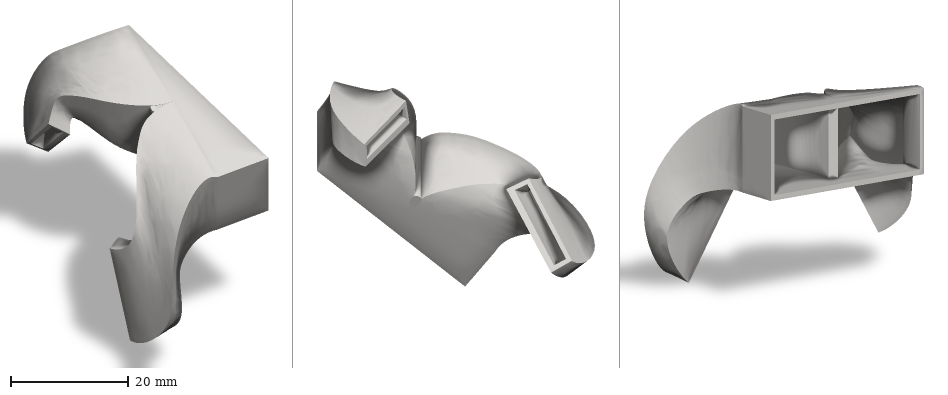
import cadquery as cq

wall = 0.9
left_x = -19.9
right_x = 15.85
split_x = (left_x + right_x) / 2
height = 14.9
wedge_depth = 9.65

web_width = 1.6
web_depth = 4.1
web_round = 0.65

outlet_overshoot = 0.45

left_arm = {
    "inner_top": [
        (split_x, 0, height), (-3.25, -5.05, 15.0), (-6.55, -9.7, 14.55), (-10.55, -12.75, 12.9),
        (-14.05, -15.1, 10.4), (-14.95, -16.35, 7.8), (-13.4, -18.15, 4.85),
    ],
    "outer_top": [
        (left_x, 0, height), (-20.55, -5.15, 14.25), (-22.9, -10.6, 10.9), (-25.3, -13.3, 6.35),
        (-26.9, -15.55, -1.3), (-25.3, -17.35, -7.25), (-21.9, -18.3, -10.9),
    ],
    "outer_bottom": [
        (left_x, 0, 0), (-20.75, -5.65, -0.1), (-22.35, -9.7, -1.1), (-23.7, -11.25, -2.85),
        (-24.5, -12.4, -6.75), (-22.9, -13.75, -10.25), (-19.75, -15.25, -12.45),
    ],
    "inner_bottom": [
        (split_x, 0, 0), (-2.95, -4.3, 0.45), (-5.4, -8.1, 1.9), (-8.1, -10.5, 3.4),
        (-11.3, -12.65, 4.85), (-12.65, -14, 5.1), (-10.9, -15.25, 3.3),
    ],
}
right_arm = {
    "inner_top": [
        (split_x, 0, height), (-0.45, -5.7, 14.95), (2.3, -8.45, 14.3), (6.05, -10.7, 13.1),
        (12.1, -13.45, 9.8), (15.1, -15.8, 4.95), (11.25, -18.15, -0.6),
    ],
    "outer_top": [
        (right_x, 0, height), (16.55, -4.45, 14.25), (20.55, -9.6, 10.25), (24.95, -12.7, 3.4),
        (26.9, -14.25, -4.3), (24.2, -16.4, -12.2), (19.8, -18.3, -16.35),
    ],
    "outer_bottom": [
        (right_x, 0, 0), (16.55, -4.45, -0.1), (18.85, -7.95, -0.95), (21.3, -9.6, -2.7),
        (24.25, -10.6, -7.15), (22.9, -11.85, -12.65), (17.55, -15.25, -17.8),
    ],
    "inner_bottom": [
        (split_x, 0, 0), (-0.65, -4.85, 0.45), (2.7, -7.55, 1.6), (6.25, -9.7, 2.75),
        (10.75, -11.85, 3.25), (12.9, -13.45, 1.8), (8.55, -15.25, -2.15),
    ],
}


def inset_corner(corner, neighbour_a, neighbour_b):
    """Move a corner inward by the wall thickness along both adjoining sides."""
    side_a = (neighbour_a - corner).normalized()
    side_b = (neighbour_b - corner).normalized()
    return corner + (side_a + side_b) * wall


def inset_edges(edges):
    """Return the long edges of the passage inside a duct, run on past its outlet."""
    sections = []
    for corners in zip(*edges):
        neighbours = zip(corners, corners[-1:] + corners[:-1], corners[1:] + corners[:1])
        sections.append([inset_corner(*trio) for trio in neighbours])
    inner_top, outer_top, _, inner_bottom = sections[-1]
    outward = (inner_bottom - inner_top).cross(outer_top - inner_top).normalized()
    if outward.y > 0:
        outward = -outward
    sections[-1] = [corner + outward * outlet_overshoot for corner in sections[-1]]
    return list(zip(*sections))


def duct(edges):
    """Close four long edges into a solid with ruled sides."""
    parameters = list(range(len(edges[0])))
    curves = [cq.Edge.makeSpline(list(points), parameters=parameters) for points in edges]
    faces = [cq.Face.makeRuledSurface(curves[i - 1], curves[i]) for i in range(4)]
    for end in (0, -1):
        corners = [points[end] for points in edges]
        top_side = cq.Edge.makeLine(corners[0], corners[1])
        bottom_side = cq.Edge.makeLine(corners[3], corners[2])
        faces.append(cq.Face.makeRuledSurface(top_side, bottom_side))
    solid = cq.Solid.makeSolid(cq.Shell.makeShell(faces))
    return cq.Workplane(solid.fix())


def arm_edges(arm):
    """Return the points of an arm's long edges, in order around the duct."""
    return [[cq.Vector(*point) for point in points] for points in arm.values()]


def slant_y(x):
    """Height in y of the sloping intake face at a given x."""
    return wedge_depth * (x - left_x) / (right_x - left_x)


wedge = (
    cq.Workplane("XY")
    .polyline([(left_x, 0), (right_x, 0), (right_x, wedge_depth)])
    .close()
    .extrude(height)
)
mouth_left = left_x + wall
mouth_right = right_x - wall
wedge_passage = (
    cq.Workplane("XY")
    .workplane(offset=wall)
    .polyline([
        (mouth_left, 0),
        (mouth_right, 0),
        (mouth_right, slant_y(mouth_right)),
        (mouth_left, slant_y(mouth_left)),
    ])
    .close()
    .extrude(height - 2 * wall)
)
web = (
    cq.Workplane("XY")
    .box(web_width, web_depth, height, centered=(True, False, False))
    .translate((split_x, -web_depth, 0))
    .edges("|Z and <Y")
    .fillet(web_round)
)

body = wedge.union(web)
for arm in (left_arm, right_arm):
    body = body.union(duct(arm_edges(arm)))

body = body.cut(wedge_passage)
for arm in (left_arm, right_arm):
    body = body.cut(duct(inset_edges(arm_edges(arm))))

result = body